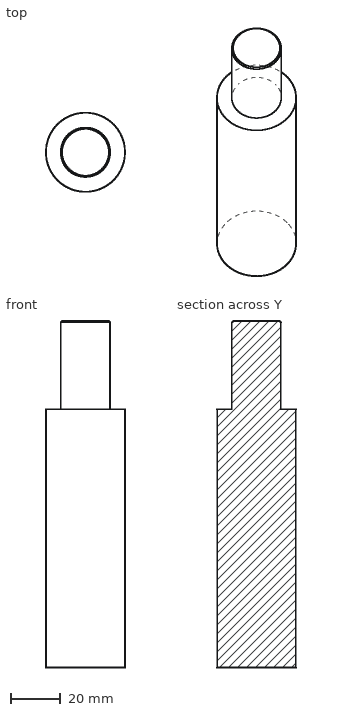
import cadquery as cq

total_length = 140.0
body_diameter = 32.0
pin_diameter = 20.0
pin_length = 35.5
pin_chamfer = 0.5

body_length = total_length - pin_length

body = cq.Workplane("XY").circle(body_diameter / 2).extrude(body_length)

pin = (
    cq.Workplane("XY")
    .workplane(offset=body_length)
    .circle(pin_diameter / 2)
    .extrude(pin_length)
    .faces(">Z")
    .edges()
    .chamfer(pin_chamfer)
)

result = body.union(pin)